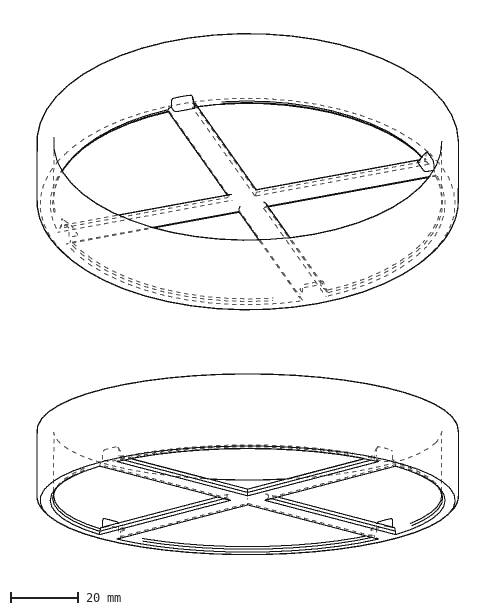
import cadquery as cq
outer_diameter = 124.5
inner_diameter = 114.5
ring_height = 22.0
ring_fillet = 1.0
ring_bottom_chamfer = 1.0

arm_width = 8.7
arm_thickness = 2.0
arm_fillet = 0.7
arm_bottom_chamfer = 0.7

gusset_width = 6.7
gusset_reach = 3.0
gusset_rise = 3.0
gusset_fillet = 0.7

inner_radius = inner_diameter / 2
wall_middle_radius = (outer_diameter + inner_diameter) / 4


def make_ring():
    """Ring with bevelled bottom edges; the bevels blend into the walls and the top edges are rounded."""
    outer = cq.Workplane("XY").circle(outer_diameter / 2).extrude(ring_height)
    bore = cq.Workplane("XY").circle(inner_diameter / 2).extrude(ring_height)
    bevelled = outer.cut(bore).faces("<Z").edges().chamfer(ring_bottom_chamfer)
    return bevelled.edges("%CIRCLE").edges("not <Z").fillet(ring_fillet)


def make_cross():
    arm_length = 2 * wall_middle_radius
    along_x = cq.Workplane("XY").box(arm_length, arm_width, arm_thickness, centered=(True, True, False))
    along_y = along_x.rotate((0, 0, 0), (0, 0, 1), 90)
    cross = along_x.union(along_y)
    return cross.faces(">Z").edges().fillet(arm_fillet).faces("<Z").edges().chamfer(arm_bottom_chamfer)


def make_gusset():
    """Wedge on the +X arm, extended into the ring wall, with its slope's side edges rounded."""
    toe = inner_radius - gusset_reach
    wedge = (
        cq.Workplane("XZ")
        .moveTo(toe, arm_thickness)
        .lineTo(inner_radius, arm_thickness + gusset_rise)
        .lineTo(wall_middle_radius, arm_thickness + gusset_rise)
        .lineTo(wall_middle_radius, arm_thickness)
        .close()
        .extrude(gusset_width / 2, both=True)
    )
    slope_middle = cq.Vector(inner_radius - gusset_reach / 2, 0, arm_thickness + gusset_rise / 2)
    slope = cq.selectors.NearestToPointSelector(slope_middle.toTuple())
    return wedge.faces(slope).edges("not |Y").fillet(gusset_fillet)


result = make_ring().union(make_cross())
gusset = make_gusset()
for angle in (0, 90, 180, 270):
    result = result.union(gusset.rotate((0, 0, 0), (0, 0, 1), angle))